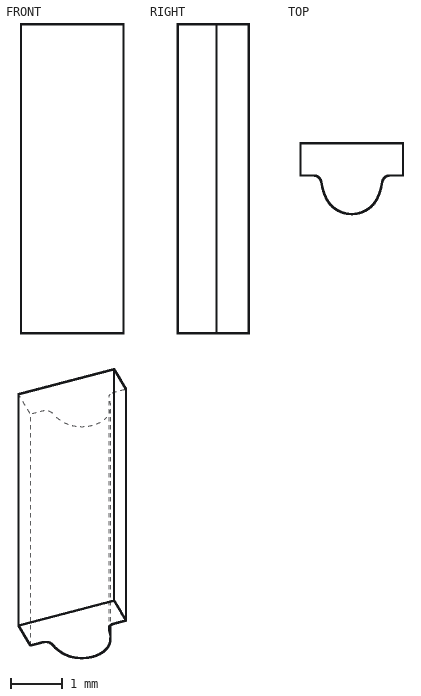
import cadquery as cq
import math

length = 6.0
pitch = 2.0
total_depth = 1.38
tooth_height = 0.75
flank_radius = 1.0
flank_offset = 0.4
root_radius = 0.15

half_pitch = pitch / 2
back_y = total_depth - tooth_height

tip_radius = (flank_radius**2 - flank_offset**2 - tooth_height**2) / (
    2 * (flank_radius - tooth_height)
)
tip_centre_y = tip_radius - tooth_height

root_reach = math.sqrt((flank_radius + root_radius) ** 2 - root_radius**2)
root_centre_x = root_reach - flank_offset


def point_on_arc(centre_x, centre_y, radius, angle):
    """Point on a circle at an angle in radians."""
    return centre_x + radius * math.cos(angle), centre_y + radius * math.sin(angle)


def mirrored(point):
    """Point reflected across the tooth centreline."""
    return -point[0], point[1]


root_angle = -math.asin(root_radius / (flank_radius + root_radius))
tip_angle = math.atan2(tip_centre_y, flank_offset)

root_start = (root_centre_x, 0)
root_mid = point_on_arc(
    root_centre_x, -root_radius, root_radius, (math.pi / 2 + math.pi + root_angle) / 2
)
flank_start = point_on_arc(-flank_offset, 0, flank_radius, root_angle)
flank_mid = point_on_arc(-flank_offset, 0, flank_radius, (root_angle + tip_angle) / 2)
flank_end = point_on_arc(-flank_offset, 0, flank_radius, tip_angle)
tip = (0, -tooth_height)

result = (
    cq.Workplane("XY")
    .moveTo(-half_pitch, back_y)
    .lineTo(half_pitch, back_y)
    .lineTo(half_pitch, 0)
    .lineTo(*root_start)
    .threePointArc(root_mid, flank_start)
    .threePointArc(flank_mid, flank_end)
    .threePointArc(tip, mirrored(flank_end))
    .threePointArc(mirrored(flank_mid), mirrored(flank_start))
    .threePointArc(mirrored(root_mid), mirrored(root_start))
    .lineTo(-half_pitch, 0)
    .close()
    .extrude(length)
)